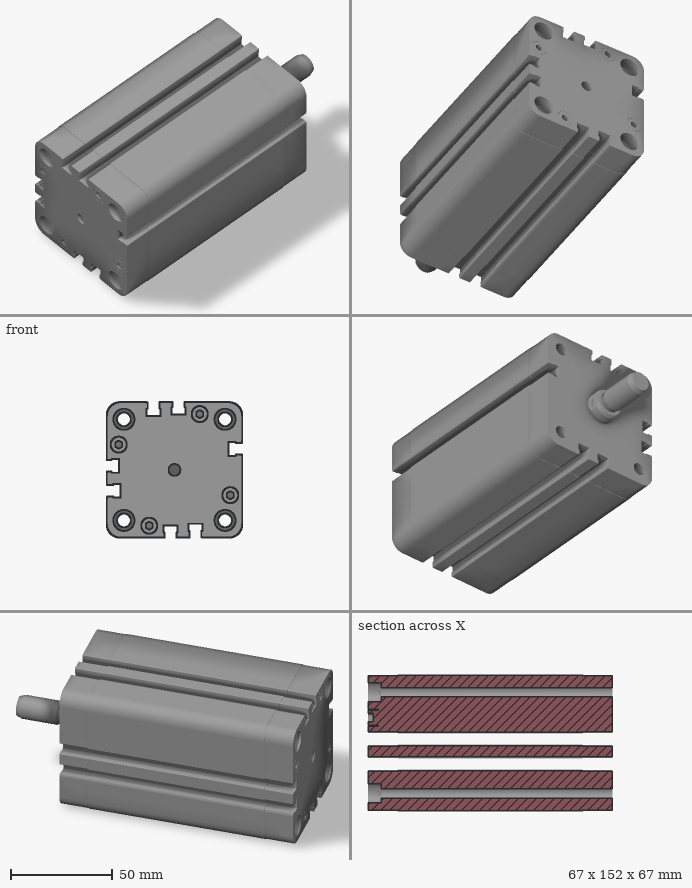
import cadquery as cq
import math

TOTAL_LENGTH = 152.0
BODY_LENGTH = 120.7
CAP_LENGTH = 14.9
BARREL_LENGTH = BODY_LENGTH - 2 * CAP_LENGTH

CAP_WIDTH = 66.5
BARREL_WIDTH = 67.0
BARREL_STEP = (BARREL_WIDTH - CAP_WIDTH) / 2
CAP_CORNER_RADIUS = 6.5

MOUTH_WIDTH = 6.0
CHAMBER_WIDTH = 7.0
DEEP_SLOT_OFFSET = 10.3
DEEP_SLOT_LIP = 3.2
DEEP_SLOT_DEPTH = 6.8
SHALLOW_SLOT_OFFSET = 2.0
SHALLOW_SLOT_LIP = 2.5
SHALLOW_SLOT_DEPTH = 6.1
MOUTH_BREAK = 0.3
BEVEL_WIDTH = 0.9
BEVEL_DROP = 0.3
SLOT_OVERCUT = 1.5

TOP, RIGHT, BOTTOM, LEFT = 0, 90, 180, 270

MOUNT_OFFSET = 25.0
MOUNT_DIAMETER = 6.7
COUNTERBORE_DIAMETER = 10.5
COUNTERBORE_DEPTH = 6.5

SCREW_NEAR = 12.5
SCREW_FAR = 27.5
SCREW_RECESS_DIAMETER = 8.0
SCREW_HEAD_DIAMETER = 7.8
SCREW_RECESS_DEPTH = 5.0
SOCKET_FLATS = 3.5
SOCKET_DEPTH = 2.5
SOCKET_TURN = 30

CENTRE_DIAMETER = 6.0
CENTRE_DEPTH = 10.0

ROD_DIAMETER = 16.0
COLLAR_LENGTH = 7.3
COLLAR_CHAMFER_LENGTH = 1.7
COLLAR_CHAMFER_DEPTH = 0.9
FLATS_WIDTH = 13.4
FLATS_RUNOUT = 1.7
NECK_DIAMETER = 10.0
NECK_LENGTH = 3.0
THREAD_DIAMETER = 12.0
THREAD_ROOT_CHAMFER = 0.8
THREAD_TIP_DIAMETER = 10.0
THREAD_TIP_LENGTH = 2.7


def section(width, corner_radius, length, start):
    """Square bar along +Y with rounded corners."""
    bar = cq.Workplane("XY").box(width, length, width, centered=(True, False, True))
    return bar.edges("|Y").fillet(corner_radius).translate((0, start, 0))


def slot(offset, lip, depth, bevelled, grow, length, start):
    """T slot in the top side; grow narrows it and moves it outwards with the barrel surface."""
    surface = CAP_WIDTH / 2 + grow
    ceiling = surface + SLOT_OVERCUT
    lip_z = surface - lip
    floor_z = surface - depth
    mouth = MOUTH_WIDTH / 2 - grow
    chamber = CHAMBER_WIDTH / 2 - grow
    left_width, left_drop = (BEVEL_WIDTH, BEVEL_DROP) if bevelled else (MOUTH_BREAK, MOUTH_BREAK)
    points = [
        (-mouth - left_width, ceiling),
        (-mouth - left_width, surface),
        (-mouth, surface - left_drop),
        (-mouth, lip_z),
        (-chamber, lip_z),
        (-chamber, floor_z),
        (chamber, floor_z),
        (chamber, lip_z),
        (mouth, lip_z),
        (mouth, surface - MOUTH_BREAK),
        (mouth + MOUTH_BREAK, surface),
        (mouth + MOUTH_BREAK, ceiling),
    ]
    cutter = cq.Workplane("XZ").polyline(points).close().extrude(-length)
    return cutter.translate((offset, start, 0))


def slots(grow, length, start):
    """All slots of one body section: a pair on three sides, only the deep one on the right."""
    deep = slot(-DEEP_SLOT_OFFSET, DEEP_SLOT_LIP, DEEP_SLOT_DEPTH, True, grow, length, start)
    shallow = slot(SHALLOW_SLOT_OFFSET, SHALLOW_SLOT_LIP, SHALLOW_SLOT_DEPTH, False, grow, length, start)
    pair = deep.union(shallow)
    turned = [pair.rotate((0, 0, 0), (0, 1, 0), angle) for angle in (TOP, BOTTOM, LEFT)]
    return turned + [deep.rotate((0, 0, 0), (0, 1, 0), RIGHT)]


def body_section(grow, length, start):
    """Slotted bar, offset outwards by grow from the cap outline."""
    bar = section(CAP_WIDTH + 2 * grow, CAP_CORNER_RADIUS + grow, length, start)
    for cutter in slots(grow, length, start):
        bar = bar.cut(cutter)
    return bar


def rod():
    """Rod end with wrench flats, neck and thread, rooted inside the front cap."""
    rod_root = BODY_LENGTH - CAP_LENGTH
    collar_end = BODY_LENGTH + COLLAR_LENGTH
    neck_end = collar_end + NECK_LENGTH
    thread = THREAD_DIAMETER / 2
    profile = [
        (0, rod_root),
        (ROD_DIAMETER / 2, rod_root),
        (ROD_DIAMETER / 2, collar_end - COLLAR_CHAMFER_LENGTH),
        (ROD_DIAMETER / 2 - COLLAR_CHAMFER_DEPTH, collar_end),
        (NECK_DIAMETER / 2, collar_end),
        (NECK_DIAMETER / 2, neck_end - THREAD_ROOT_CHAMFER),
        (thread - THREAD_ROOT_CHAMFER, neck_end - THREAD_ROOT_CHAMFER),
        (thread, neck_end),
        (thread, TOTAL_LENGTH - THREAD_TIP_LENGTH),
        (THREAD_TIP_DIAMETER / 2, TOTAL_LENGTH),
        (0, TOTAL_LENGTH),
    ]
    turned = cq.Workplane("XY").polyline(profile).close().revolve(360, (0, 0, 0), (0, 1, 0))
    flat = FLATS_WIDTH / 2
    start = BODY_LENGTH + FLATS_RUNOUT
    side = [
        (flat, start),
        (flat, collar_end),
        (ROD_DIAMETER, collar_end),
        (ROD_DIAMETER, start - (ROD_DIAMETER - flat)),
    ]
    for sign in (1, -1):
        cutter = cq.Workplane("XY").polyline([(sign * x, y) for x, y in side]).close()
        turned = turned.cut(cutter.extrude(ROD_DIAMETER, both=True))
    return turned


def rear_cylinders(points, diameter, depth):
    """Cylinders running inwards from the rear face."""
    return cq.Workplane("XZ").pushPoints(points).circle(diameter / 2).extrude(-depth)


result = body_section(0, CAP_LENGTH, 0)
result = result.union(body_section(BARREL_STEP, BARREL_LENGTH, CAP_LENGTH))
result = result.union(body_section(0, CAP_LENGTH, BODY_LENGTH - CAP_LENGTH))
result = result.union(rod())

mounts = [(x, z) for x in (-MOUNT_OFFSET, MOUNT_OFFSET) for z in (-MOUNT_OFFSET, MOUNT_OFFSET)]
result = result.cut(rear_cylinders(mounts, MOUNT_DIAMETER, BODY_LENGTH))
result = result.cut(rear_cylinders(mounts, COUNTERBORE_DIAMETER, COUNTERBORE_DEPTH))
result = result.cut(rear_cylinders([(0, 0)], CENTRE_DIAMETER, CENTRE_DEPTH))

screws = [
    (SCREW_NEAR, SCREW_FAR),
    (SCREW_FAR, -SCREW_NEAR),
    (-SCREW_NEAR, -SCREW_FAR),
    (-SCREW_FAR, SCREW_NEAR),
]
result = result.cut(rear_cylinders(screws, SCREW_RECESS_DIAMETER, SCREW_RECESS_DEPTH))
result = result.union(rear_cylinders(screws, SCREW_HEAD_DIAMETER, SCREW_RECESS_DEPTH))
socket_diameter = SOCKET_FLATS / math.cos(math.pi / 6)
for x, z in screws:
    socket = cq.Workplane("XZ").polygon(6, socket_diameter).extrude(-SOCKET_DEPTH)
    socket = socket.rotate((0, 0, 0), (0, 1, 0), SOCKET_TURN)
    result = result.cut(socket.translate((x, 0, z)))